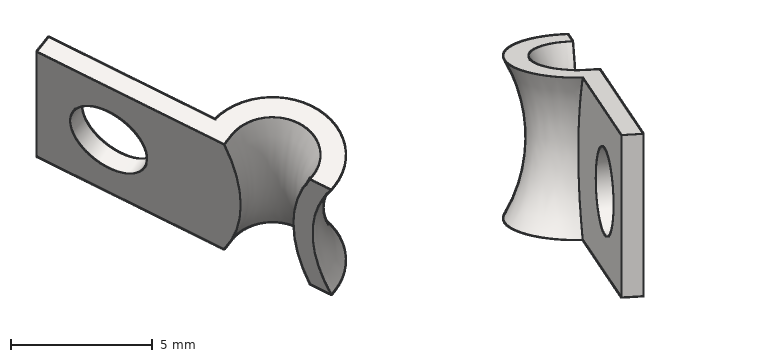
import cadquery as cq
import math

height = 6.0
thickness = 0.8
hole_diameter = 3.2
hole_x = height / 2

overall_length = 12.1
throat_radius = 1.0
flare_radius = 6.88
sleeve_y = 0.51
free_end_y = 0.29

half_height = height / 2
outer_flare_radius = flare_radius - thickness
arc_centre = throat_radius + flare_radius
bore_end_radius = arc_centre - math.sqrt(flare_radius**2 - half_height**2)
outer_end_radius = arc_centre - math.sqrt(outer_flare_radius**2 - half_height**2)
outer_mid_radius = throat_radius + thickness
sleeve_x = overall_length - outer_end_radius


def make_tab():
    """Plate whose inner edge follows the flared bore, with a round hole."""
    edge_end_x = sleeve_x - bore_end_radius
    edge_mid_x = sleeve_x - throat_radius
    plate = (
        cq.Workplane("XZ")
        .moveTo(0, -half_height)
        .lineTo(edge_end_x, -half_height)
        .threePointArc((edge_mid_x, 0), (edge_end_x, half_height))
        .lineTo(0, half_height)
        .close()
        .extrude(-thickness)
    )
    hole = (
        cq.Workplane("XZ")
        .center(hole_x, 0)
        .circle(hole_diameter / 2)
        .extrude(-thickness)
    )
    return plate.cut(hole)


def wall_section():
    """Vertical section of the flared wall, measured outward from the sleeve axis."""
    return (
        cq.Workplane("XZ")
        .moveTo(bore_end_radius, -half_height)
        .lineTo(outer_end_radius, -half_height)
        .threePointArc((outer_mid_radius, 0), (outer_end_radius, half_height))
        .lineTo(bore_end_radius, half_height)
        .threePointArc((throat_radius, 0), (bore_end_radius, -half_height))
        .close()
    )


def make_sleeve():
    """Half turn of the wall, continued straight to the flat free end."""
    half_turn = wall_section().revolve(180, (0, 0, 0), (0, 1, 0))
    straight_end = wall_section().extrude(sleeve_y - free_end_y)
    return half_turn.union(straight_end).translate((sleeve_x, sleeve_y, 0))


result = make_tab().union(make_sleeve())